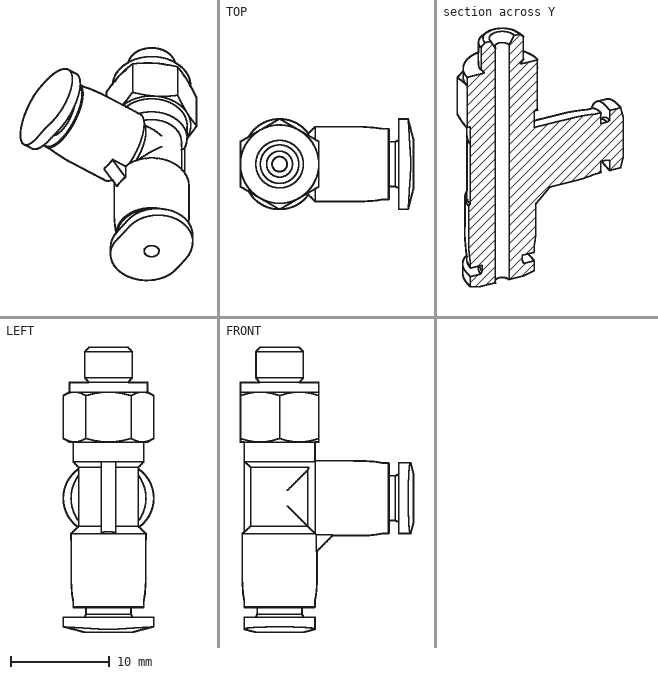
import cadquery as cq
import math

total_height = 28.9
port_length = 13.58
branch_z = port_length

thread_radius = 4.83 / 2
thread_bottom_z = 25.78
thread_tip_chamfer = 0.45
thread_neck_radius = 2.02
washer_radius = 7.95 / 2
washer_top_z = 25.32
hex_top_z = 24.33
hex_bottom_z = 19.28
hex_flats = 2 * washer_radius
hex_corners = hex_flats / math.cos(math.radians(30))
hex_chamfer_angle = 30.0

shank_radius = 7.2 / 2
shank_bottom_z = 17.28
trunk_radius = 3.03
trunk_top_z = shank_bottom_z - (shank_radius - trunk_radius)

sleeve_radius = 7.6 / 2
sleeve_cone_start = 2.83
sleeve_start = sleeve_cone_start + (sleeve_radius - trunk_radius)
taper_start = 8.35
taper_end = 10.38
sleeve_end = 11.1
taper_middle_radius = 3.75
sleeve_end_radius = 7.2 / 2
sleeve_end_chamfer = 0.1

collar_neck_radius = 4.57 / 2
flare_start = 11.73
flare_radius = 2.43
flange_start = 12.05
flange_width = 7.2
flange_length = 9.2
bevel_inner_radius = 2.45
bevel_drop = 0.55

bore_diameter = 1.5
countersink_diameter = 2.63
countersink_angle = 60.0
rib_width = 1.5
gusset_leg = 1.55


def revolve_about_z(profile):
    """Close an (r, z) profile on the Z axis and revolve it."""
    return profile.close().revolve(360, (0, 0, 0), (0, 1, 0))


def make_flange():
    """Oval flange, long along Y, with a shallow conical bevel around its outer face."""
    flange = (
        cq.Workplane("XY").workplane(offset=flange_start)
        .slot2D(flange_length, flange_width, 90)
        .extrude(port_length - flange_start)
    )
    half_length = flange_length / 2
    envelope = revolve_about_z(
        cq.Workplane("XZ")
        .moveTo(0, flange_start)
        .lineTo(half_length, flange_start)
        .lineTo(half_length, port_length - bevel_drop)
        .lineTo(bevel_inner_radius, port_length)
        .lineTo(0, port_length)
    )
    return flange.intersect(envelope)


def make_port():
    """Port along +Z from the crossing of the axes: stem, sleeve, collar neck and flange."""
    sleeve_and_neck = revolve_about_z(
        cq.Workplane("XZ")
        .moveTo(0, 0)
        .lineTo(trunk_radius, 0)
        .lineTo(trunk_radius, sleeve_cone_start)
        .lineTo(sleeve_radius, sleeve_start)
        .lineTo(sleeve_radius, taper_start)
        .threePointArc(
            (taper_middle_radius, (taper_start + taper_end) / 2),
            (sleeve_end_radius, taper_end),
        )
        .lineTo(sleeve_end_radius, sleeve_end - sleeve_end_chamfer)
        .lineTo(sleeve_end_radius - sleeve_end_chamfer, sleeve_end)
        .lineTo(collar_neck_radius, sleeve_end)
        .lineTo(collar_neck_radius, flare_start)
        .lineTo(flare_radius, flange_start)
        .lineTo(0, flange_start)
    )
    return sleeve_and_neck.union(make_flange())


def make_stud():
    """Turned upper half: trunk, shank, washer and threaded end."""
    return revolve_about_z(
        cq.Workplane("XZ")
        .moveTo(0, branch_z)
        .lineTo(trunk_radius, branch_z)
        .lineTo(trunk_radius, trunk_top_z)
        .lineTo(shank_radius, shank_bottom_z)
        .lineTo(shank_radius, hex_top_z)
        .lineTo(washer_radius, hex_top_z)
        .lineTo(washer_radius, washer_top_z)
        .lineTo(thread_neck_radius, washer_top_z)
        .lineTo(thread_radius, thread_bottom_z)
        .lineTo(thread_radius, total_height - thread_tip_chamfer)
        .lineTo(thread_radius - thread_tip_chamfer, total_height)
        .lineTo(0, total_height)
    )


def make_hexagon():
    """Hexagon with corners on the Y axis, chamfered conically at both ends."""
    prism = (
        cq.Workplane("XY").workplane(offset=hex_bottom_z)
        .transformed(rotate=(0, 0, 90))
        .polygon(6, hex_corners)
        .extrude(hex_top_z - hex_bottom_z)
    )
    corner_radius = hex_corners / 2
    flat_radius = hex_flats / 2
    chamfer_height = (corner_radius - flat_radius) * math.tan(math.radians(hex_chamfer_angle))
    envelope = revolve_about_z(
        cq.Workplane("XZ")
        .moveTo(0, hex_bottom_z)
        .lineTo(flat_radius, hex_bottom_z)
        .lineTo(corner_radius, hex_bottom_z + chamfer_height)
        .lineTo(corner_radius, hex_top_z - chamfer_height)
        .lineTo(flat_radius, hex_top_z)
        .lineTo(0, hex_top_z)
    )
    return prism.intersect(envelope)


def make_back_rib():
    """Rib on the -X side, from the shank down to the sleeve of the lower port."""
    bottom_z = branch_z - sleeve_start
    height = shank_bottom_z - bottom_z
    return (
        cq.Workplane("XY")
        .box(shank_radius, rib_width, height, centered=(False, True, False))
        .translate((-shank_radius, 0, bottom_z))
    )


def make_gusset():
    """Triangular web in the corner between the two port sleeves."""
    reach = sleeve_radius + gusset_leg
    return (
        cq.Workplane("XZ")
        .moveTo(0, branch_z)
        .lineTo(reach, branch_z)
        .lineTo(reach, branch_z - sleeve_radius)
        .lineTo(sleeve_radius, branch_z - reach)
        .lineTo(0, branch_z - reach)
        .close()
        .extrude(rib_width / 2, both=True)
    )


port = make_port()
origin = (0, 0, 0)
lower_port = port.rotate(origin, (1, 0, 0), 180).translate((0, 0, branch_z))
branch_port = port.rotate(origin, (0, 1, 0), 90).translate((0, 0, branch_z))

body = make_stud()
for feature in (make_hexagon(), lower_port, branch_port, make_back_rib(), make_gusset()):
    body = body.union(feature)

result = (
    body.faces(">Z").workplane(origin=(0, 0, total_height))
    .cskHole(bore_diameter, countersink_diameter, countersink_angle)
)